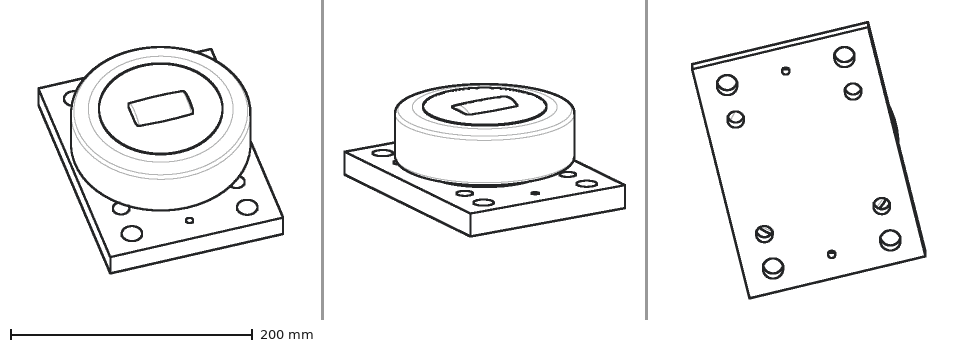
import cadquery as cq

PLATE_LENGTH = 200
PLATE_WIDTH = 150
PLATE_THICKNESS = 20
OVERALL_HEIGHT = 78.5

OUTER_HOLE_X = 80
INNER_HOLE_X = 50
HOLE_ROW_Y = 50
OUTER_HOLE_DIAMETER = 17.0
INNER_HOLE_DIAMETER = 13.8
PIN_HOLE_DIAMETER = 6

ROLLER_DIAMETER = 148.8
ROLLER_BOTTOM = 28
ROLLER_TOP = 73.2
TOP_FLAT_DIAMETER = 120
CONE_DROP = 3.0
ROLLER_ROUNDING = 3.0

NECK_DIAMETER = 103.0
HUB_DIAMETER = 102.5
HUB_TOP = 74

SIDE_ROLLER_DIAMETER = 52
SIDE_ROLLER_LENGTH = 50
SIDE_ROLLER_ROUNDING = 2.5
SIDE_ROLLER_CROWN = 0.5


def make_plate():
    plate = cq.Workplane("XY").box(
        PLATE_LENGTH, PLATE_WIDTH, PLATE_THICKNESS, centered=(True, True, False)
    )
    for hole_x, diameter in (
        (OUTER_HOLE_X, OUTER_HOLE_DIAMETER),
        (INNER_HOLE_X, INNER_HOLE_DIAMETER),
    ):
        plate = (
            plate.faces(">Z").workplane(origin=(0, 0, PLATE_THICKNESS))
            .rect(2 * hole_x, 2 * HOLE_ROW_Y, forConstruction=True)
            .vertices()
            .hole(diameter)
        )
    return (
        plate.faces(">Z").workplane(origin=(0, 0, PLATE_THICKNESS))
        .pushPoints([(-OUTER_HOLE_X, 0), (OUTER_HOLE_X, 0)])
        .hole(PIN_HOLE_DIAMETER)
    )


def make_hub():
    neck = (
        cq.Workplane("XY").workplane(offset=PLATE_THICKNESS)
        .circle(NECK_DIAMETER / 2)
        .extrude(ROLLER_BOTTOM - PLATE_THICKNESS)
    )
    hub = (
        cq.Workplane("XY").workplane(offset=PLATE_THICKNESS)
        .circle(HUB_DIAMETER / 2)
        .extrude(HUB_TOP - PLATE_THICKNESS)
    )
    return neck.union(hub)


def make_main_roller():
    outer_radius = ROLLER_DIAMETER / 2
    roller = (
        cq.Workplane("XZ")
        .moveTo(0, ROLLER_BOTTOM)
        .lineTo(outer_radius, ROLLER_BOTTOM)
        .lineTo(outer_radius, ROLLER_TOP - CONE_DROP)
        .lineTo(TOP_FLAT_DIAMETER / 2, ROLLER_TOP)
        .lineTo(0, ROLLER_TOP)
        .close()
        .revolve(360, (0, 0, 0), (0, 1, 0))
    )
    widest_circles = cq.selectors.RadiusNthSelector(-1)
    return roller.edges("%CIRCLE").edges(widest_circles).fillet(ROLLER_ROUNDING)


def make_side_roller():
    """Slightly barrel-shaped roller whose crown reaches the overall height."""
    radius = SIDE_ROLLER_DIAMETER / 2
    end_radius = radius - SIDE_ROLLER_CROWN
    half_length = SIDE_ROLLER_LENGTH / 2
    axis_z = OVERALL_HEIGHT - radius
    return (
        cq.Workplane("YZ", origin=(0, 0, axis_z))
        .moveTo(-half_length, 0)
        .lineTo(-half_length, end_radius)
        .threePointArc((0, radius), (half_length, end_radius))
        .lineTo(half_length, 0)
        .close()
        .revolve(360, (0, 0, 0), (1, 0, 0))
        .faces("<Y or >Y")
        .edges()
        .fillet(SIDE_ROLLER_ROUNDING)
    )


result = make_plate()
for body in (make_hub(), make_main_roller(), make_side_roller()):
    result = result.union(body)